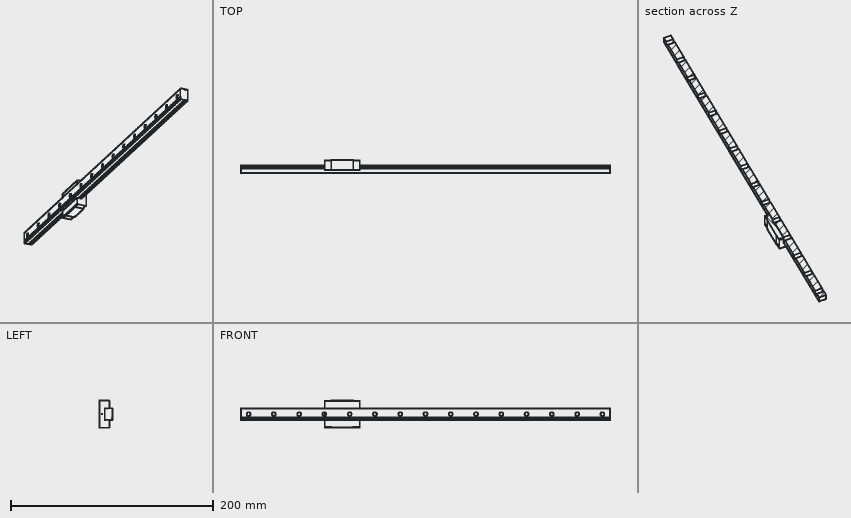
import cadquery as cq

RAIL_LENGTH = 365.0
RAIL_WIDTH = 12.0
RAIL_HEIGHT = 8.0
FOOT_CHAMFER = 0.5
HOLE_COUNT = 15
HOLE_END_DISTANCE = 7.5
HOLE_PITCH = (RAIL_LENGTH - 2 * HOLE_END_DISTANCE) / (HOLE_COUNT - 1)
HOLE_DIAMETER = 3.5

BALL_GROOVE_WIDTH = 2.2
BALL_GROOVE_DEPTH = 0.62
BALL_GROOVE_Y = 5.5

MARK_GROOVE_WIDTH = 1.0
MARK_GROOVE_DEPTH = 0.55
MARK_GROOVE_Z = -3.5

CARRIAGE_START = 83.0
CARRIAGE_LENGTH = 34.5
CARRIAGE_WIDTH = 27.0
CARRIAGE_BOTTOM = 3.0
CARRIAGE_TOP = 13.0
CAP_LENGTH = 6.5
CAP_INSET = 0.22
EDGE_CHAMFER = 0.7
OIL_HOLE_DIAMETER = 0.7
OIL_HOLE_DEPTH = 2.0
OIL_HOLE_Y = 10.5

RAIL_START = -RAIL_LENGTH / 2
CARRIAGE_X = RAIL_START + CARRIAGE_START + CARRIAGE_LENGTH / 2


def rail_bar():
    """Grooved rail without its holes: a profile in (y, z) points, extruded along the full length."""
    side = RAIL_WIDTH / 2
    foot = side - FOOT_CHAMFER
    groove_low = BALL_GROOVE_Y - BALL_GROOVE_WIDTH / 2
    groove_high = BALL_GROOVE_Y + BALL_GROOVE_WIDTH / 2
    groove_floor = side - BALL_GROOVE_DEPTH
    profile = (
        cq.Workplane("YZ", origin=(RAIL_START, 0, 0))
        .moveTo(0, -foot)
        .lineTo(FOOT_CHAMFER, -side)
        .lineTo(groove_low, -side)
        .lineTo(BALL_GROOVE_Y, -groove_floor)
        .lineTo(groove_high, -side)
        .lineTo(RAIL_HEIGHT, -side)
        .lineTo(RAIL_HEIGHT, side)
        .lineTo(groove_high, side)
        .lineTo(BALL_GROOVE_Y, groove_floor)
        .lineTo(groove_low, side)
        .lineTo(FOOT_CHAMFER, side)
        .lineTo(0, foot)
        .lineTo(0, MARK_GROOVE_Z + MARK_GROOVE_WIDTH / 2)
        .lineTo(MARK_GROOVE_DEPTH, MARK_GROOVE_Z)
        .lineTo(0, MARK_GROOVE_Z - MARK_GROOVE_WIDTH / 2)
        .close()
    )
    return profile.extrude(RAIL_LENGTH)


def mounting_holes():
    """Cylinders for the row of through holes, spaced evenly about the middle of the rail."""
    return (
        cq.Workplane("XZ")
        .rarray(HOLE_PITCH, 3.5, HOLE_COUNT, 1)
        .circle(HOLE_DIAMETER / 2)
        .extrude(-RAIL_HEIGHT)
    )


def make_rail():
    return rail_bar().cut(mounting_holes())


def block(length, top, width):
    """Plain block about the carriage centre, from the carriage bottom up to the given Y."""
    height = top - CARRIAGE_BOTTOM
    middle_y = CARRIAGE_BOTTOM + height / 2
    return cq.Workplane("XY", origin=(CARRIAGE_X, middle_y, 0)).box(length, height, width)


def oil_hole(end):
    """Cylinder for the oil hole in the end face on the given side (-1 or +1) of the carriage."""
    face_x = CARRIAGE_X + end * CARRIAGE_LENGTH / 2
    return (
        cq.Workplane("YZ", origin=(face_x, OIL_HOLE_Y, 0))
        .circle(OIL_HOLE_DIAMETER / 2)
        .extrude(-end * OIL_HOLE_DEPTH)
    )


def make_carriage():
    """Steel block and end caps, with a channel that fits the rail and its ball grooves."""
    steel_block = block(CARRIAGE_LENGTH - 2 * CAP_LENGTH, CARRIAGE_TOP, CARRIAGE_WIDTH)
    steel_block = steel_block.faces("<Y").edges("|X").chamfer(EDGE_CHAMFER)
    end_caps = block(CARRIAGE_LENGTH, CARRIAGE_TOP - CAP_INSET, CARRIAGE_WIDTH - 2 * CAP_INSET)
    end_caps = end_caps.edges("|X").chamfer(EDGE_CHAMFER)
    carriage = steel_block.union(end_caps).cut(rail_bar())
    for end in (-1, 1):
        carriage = carriage.cut(oil_hole(end))
    return carriage


rail = make_rail()
carriage = make_carriage()

result = cq.Compound.makeCompound([rail.val(), carriage.val()])